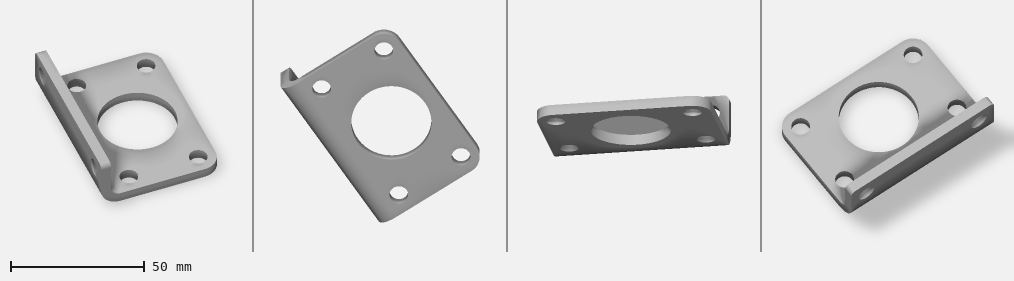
import cadquery as cq

width = 66.0
depth = 49.0
height = 21.0
thickness = 4.0

bend_inner_radius = 3.95
bend_outer_radius = bend_inner_radius + thickness
base_corner_radius = 7.0
flange_corner_radius = 2.0

bolt_diameter = 7.0
bolt_edge_distance = 7.0
bolt_spacing_x = width - 2 * bolt_edge_distance
bolt_spacing_y = 28.0
bore_diameter = 30.0

bore_y = depth - bolt_edge_distance - bolt_spacing_y / 2
flange_hole_z = height - bolt_edge_distance


def bent_plate():
    """L-shaped plate with a rounded bend, extruded across the width."""
    plate = (
        cq.Workplane("YZ")
        .moveTo(0, 0)
        .lineTo(depth, 0)
        .lineTo(depth, thickness)
        .lineTo(thickness, thickness)
        .lineTo(thickness, height)
        .lineTo(0, height)
        .close()
        .extrude(width / 2, both=True)
    )
    inner_edge = cq.selectors.NearestToPointSelector((0, thickness, thickness))
    outer_edge = cq.selectors.NearestToPointSelector((0, 0, 0))
    plate = plate.edges("|X").edges(inner_edge).fillet(bend_inner_radius)
    plate = plate.edges("|X").edges(outer_edge).fillet(bend_outer_radius)
    return plate


def round_corners(plate):
    """Round the free corners of the base and of the flange."""
    plate = plate.faces(">Y").edges("|Z").fillet(base_corner_radius)
    return plate.faces(">Z").edges("|Y").fillet(flange_corner_radius)


def base_holes():
    """Central bore and four bolt holes through the base."""
    bore = cq.Workplane("XY").center(0, bore_y).circle(bore_diameter / 2).extrude(thickness)
    bolts = (
        cq.Workplane("XY")
        .center(0, bore_y)
        .rarray(bolt_spacing_x, bolt_spacing_y, 2, 2)
        .circle(bolt_diameter / 2)
        .extrude(thickness)
    )
    return bore.union(bolts)


def flange_holes():
    """Two bolt holes through the upright flange."""
    return (
        cq.Workplane("XZ")
        .pushPoints([(side * bolt_spacing_x / 2, flange_hole_z) for side in (-1, 1)])
        .circle(bolt_diameter / 2)
        .extrude(-thickness)
    )


result = round_corners(bent_plate()).cut(base_holes()).cut(flange_holes())